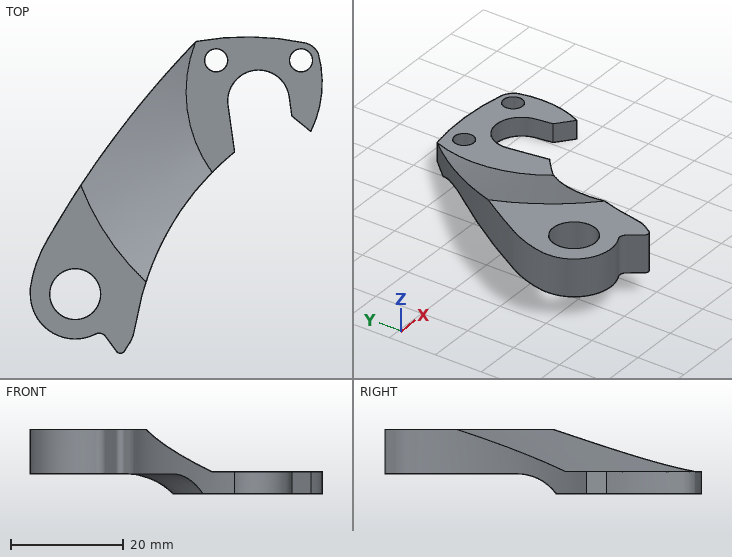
import cadquery as cq
import math


total_height = 11.5
boss_underside = 3.55
plate_thickness = 3.95

boss_radius = 8.0
pivot_hole_radius = 4.5
boss_flat_length = 1.1
tooth_root_x = 3.45

screw_hole_radius = 2.05
screw_holes = [(25.1, 41.6), (40.2, 41.6)]
slot_centre_x, slot_centre_y = 32.65, 34.4
slot_radius = 5.45
slot_tilt = math.radians(8)
slot_left_depth = 8.4
slot_right_depth = 3.5

axis_x, axis_y = 44.15, 35.95
cone_inner_radius = 24.4
cone_outer_radius = 46.2
underside_inner_radius = 26.7
underside_outer_radius = 35.2
turned_radius = 73.25


def slot_point(across, along):
    """Point in the tilted slot: across its width and along it from its round end."""
    x = slot_centre_x + across * math.cos(slot_tilt) - along * math.sin(slot_tilt)
    y = slot_centre_y + across * math.sin(slot_tilt) + along * math.cos(slot_tilt)
    return x, y


def make_outline():
    """Full-height block with the plan shape of the hanger."""
    tooth_root = (tooth_root_x, -math.sqrt(boss_radius**2 - tooth_root_x**2))
    boss_lower_left = (-boss_radius * math.sqrt(0.5), -boss_radius * math.sqrt(0.5))
    return (
        cq.Workplane("XY")
        .moveTo(*tooth_root)
        .threePointArc(boss_lower_left, (-boss_radius, 0))
        .lineTo(-boss_radius, boss_flat_length)
        .threePointArc((-6.95, 5.45), (-5.0, 9.6))
        .threePointArc((7.45, 28.5), (21.55, 45.0))
        .threePointArc((32.3, 45.75), (41.05, 44.7))
        .threePointArc((42.45, 43.9), (43.3, 42.8))
        .threePointArc((43.95, 37.0), (41.95, 28.9))
        .lineTo(*slot_point(slot_radius, -slot_right_depth))
        .lineTo(*slot_point(slot_radius, 0))
        .threePointArc(slot_point(0, slot_radius), slot_point(-slot_radius, 0))
        .lineTo(*slot_point(-slot_radius, -slot_left_depth))
        .threePointArc((16.1, 10.5), (10.95, -4.7))
        .lineTo(10.6, -6.2)
        .threePointArc((10.3, -7.4), (9.8, -8.5))
        .lineTo(8.75, -10.2)
        .threePointArc((8.1, -10.55), (7.45, -10.3))
        .lineTo(5.35, -7.5)
        .threePointArc((4.5, -7.0), tooth_root)
        .close()
        .extrude(total_height)
    )


def make_stepped_body():
    """Turned solid: low plate, conical rise on top, concave arc underneath."""
    run = underside_outer_radius - underside_inner_radius
    arc_radius = (run**2 + boss_underside**2) / (2 * boss_underside)
    half_sweep = math.atan(boss_underside / run)
    arc_middle = (
        underside_outer_radius - arc_radius * math.sin(half_sweep),
        boss_underside - arc_radius * (1 - math.cos(half_sweep)),
    )
    profile = (
        cq.Workplane("XZ")
        .lineTo(underside_inner_radius, 0)
        .threePointArc(arc_middle, (underside_outer_radius, boss_underside))
        .lineTo(turned_radius, boss_underside)
        .lineTo(turned_radius, total_height)
        .lineTo(cone_outer_radius, total_height)
        .lineTo(cone_inner_radius, plate_thickness)
        .lineTo(0, plate_thickness)
        .close()
    )
    body = profile.revolve(360, (0, 0, 0), (0, 1, 0))
    return body.translate((axis_x, axis_y, 0))


def make_holes():
    pivot = cq.Workplane("XY").circle(pivot_hole_radius).extrude(total_height)
    screws = cq.Workplane("XY").pushPoints(screw_holes).circle(screw_hole_radius).extrude(total_height)
    return pivot.union(screws)


result = make_outline().intersect(make_stepped_body()).cut(make_holes())